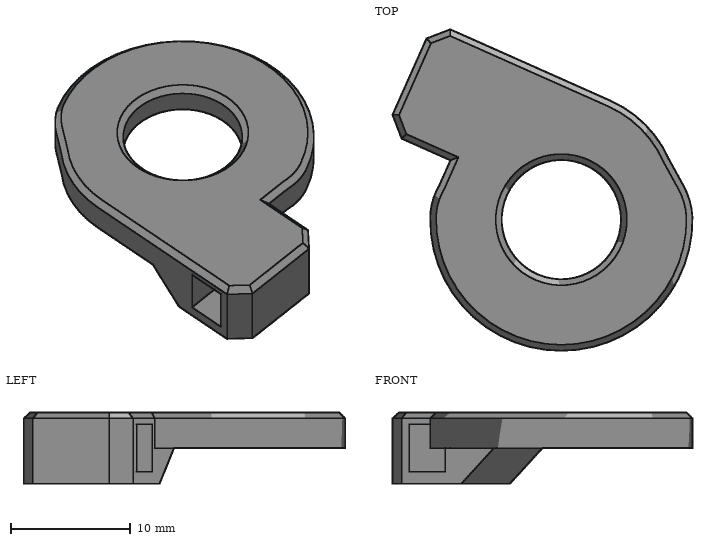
import cadquery as cq
import math

ring_radius = 11.0
hole_radius = 5.0
plate_thickness = 3.0
edge_chamfer = 0.5

arm_angle = 24
arm_end = -16.52
arm_near_side = 0.75
arm_width = 10.05
arm_far_side = arm_near_side + arm_width
corner_cut = 1.5
notch_along = -10.53
neck_length = 2.32
arm_drop = 3.0
block_end = -9.53

passage_length = 3.27
passage_height = 4.0
passage_start = -14.28
passage_floor = -arm_drop + 1.0

flank_start_y = 0.22
shoulder_x = 4.13
shoulder_drop_x = 9.05
shoulder_drop_y = 5.05


def arm_point(along, across):
    """Turn arm coordinates into X, Y."""
    angle = math.radians(arm_angle)
    x = along * math.cos(angle) + across * math.sin(angle)
    y = across * math.cos(angle) - along * math.sin(angle)
    return (x, y)


def make_plate():
    """Flat ring and arm top, with the upper outer edge chamfered."""
    angle = math.radians(arm_angle)
    shoulder_y = (arm_far_side - shoulder_x * math.sin(angle)) / math.cos(angle)
    flank_x = math.sqrt(ring_radius**2 - flank_start_y**2)
    notch = arm_point(notch_along, arm_near_side)
    neck = arm_point(notch_along, arm_near_side - neck_length)
    outline = (
        cq.Workplane("XY")
        .moveTo(flank_x, flank_start_y)
        .threePointArc((0, -ring_radius), (-flank_x, flank_start_y))
        .tangentArcPoint(neck, relative=False)
        .lineTo(*notch)
        .lineTo(*arm_point(arm_end + corner_cut, arm_near_side))
        .lineTo(*arm_point(arm_end, arm_near_side + corner_cut))
        .lineTo(*arm_point(arm_end, arm_far_side - corner_cut))
        .lineTo(*arm_point(arm_end + corner_cut, arm_far_side))
        .lineTo(shoulder_x, shoulder_y)
        .tangentArcPoint((shoulder_drop_x, shoulder_drop_y), relative=False)
        .lineTo(-neck[0], neck[1])
        .tangentArcPoint((flank_x, flank_start_y), relative=False)
        .close()
    )
    return outline.extrude(plate_thickness).faces(">Z").edges().chamfer(edge_chamfer)


def make_block():
    """Deeper arm end below the plate, with a 45 degree slope towards the ring."""
    slope_end = block_end + arm_drop
    block = (
        cq.Workplane("XZ")
        .polyline([(arm_end, 0), (arm_end, -arm_drop), (block_end, -arm_drop), (slope_end, 0)])
        .close()
        .extrude(-arm_width)
        .translate((0, arm_near_side, 0))
        .edges("|Z and <X")
        .chamfer(corner_cut)
    )
    return block.rotate((0, 0, 0), (0, 0, 1), -arm_angle)


def make_passage():
    """Rectangular opening right across the arm."""
    passage = cq.Workplane("XY").box(passage_length, arm_width, passage_height, centered=False)
    passage = passage.translate((passage_start, arm_near_side, passage_floor))
    return passage.rotate((0, 0, 0), (0, 0, 1), -arm_angle)


def make_hole():
    """Ring hole, widened by a chamfer at both rims."""
    hole = cq.Workplane("XY").circle(hole_radius).extrude(plate_thickness)
    rim_radius = hole_radius + edge_chamfer
    lower_rim = cq.Solid.makeCone(rim_radius, hole_radius, edge_chamfer)
    upper_rim = lower_rim.mirror("XY").translate(cq.Vector(0, 0, plate_thickness))
    return hole.union(cq.Workplane(lower_rim)).union(cq.Workplane(upper_rim))


result = make_plate().union(make_block()).cut(make_passage()).cut(make_hole())